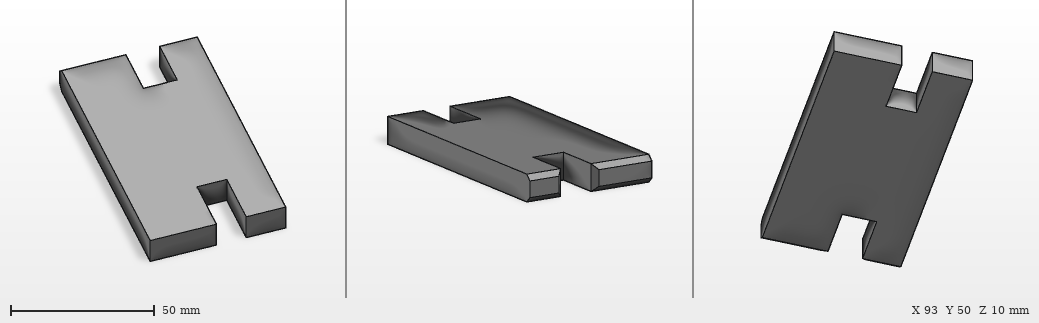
import cadquery as cq

length = 93.0
width = 50.0
thickness = 10.0

slot_depth = 20.0
slot_center_from_back = 20.1
left_slot_width = 12.5
right_slot_width = 11.0

chamfer_size = thickness / 5


def end_slot(side, slot_width):
    """Through-thickness cutter entering from the end at side * length / 2."""
    center_x = side * (length - slot_depth) / 2
    center_y = width / 2 - slot_center_from_back
    return cq.Workplane("XY").box(slot_depth, slot_width, thickness).translate((center_x, center_y, 0))


plate = cq.Workplane("XY").box(length, width, thickness)
plate = plate.cut(end_slot(-1, left_slot_width))
plate = plate.cut(end_slot(1, right_slot_width))

left_end = plate.faces("<X")
horizontal_edges = left_end.edges("|Y")
slot_corners = left_end.edges("|Z").edges("not(<Y or >Y)")
result = horizontal_edges.add(slot_corners).chamfer(chamfer_size)